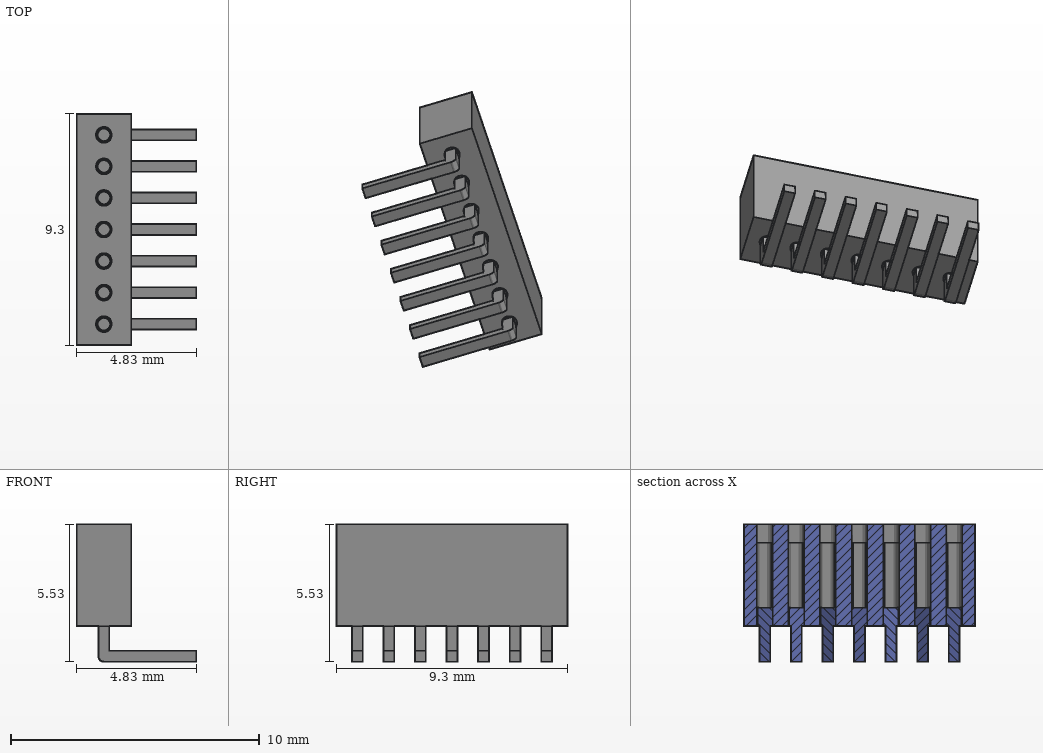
import cadquery as cq

HOUSING_WIDTH = 2.2
HOUSING_LENGTH = 9.3
HOUSING_HEIGHT = 4.1

CONTACT_COUNT = 7
CONTACT_SPAN = 7.62

HOLE_DIAMETER = 0.62
SOCKET_DIAMETER = 0.6
SOCKET_RECESS = 0.74
SOCKET_BORE_DIAMETER = 0.5
SOCKET_FLOOR = 0.74

TAIL_SIZE = 0.45
OVERALL_WIDTH = 4.83
OVERALL_HEIGHT = 5.53
BEND_RADIUS = TAIL_SIZE / 2

TAIL_DROP = OVERALL_HEIGHT - HOUSING_HEIGHT
TAIL_END_X = OVERALL_WIDTH - HOUSING_WIDTH / 2
SOCKET_TOP = HOUSING_HEIGHT - SOCKET_RECESS
CONTACT_PITCH = CONTACT_SPAN / (CONTACT_COUNT - 1)
CONTACT_POSITIONS = [i * CONTACT_PITCH - CONTACT_SPAN / 2 for i in range(CONTACT_COUNT)]


def cylinder(diameter, bottom, top, y=0.0):
    """Vertical cylinder on the contact row."""
    return cq.Workplane("XY", origin=(0, y, bottom)).circle(diameter / 2).extrude(top - bottom)


def make_housing():
    """Block with one plain through hole for each contact."""
    housing = cq.Workplane("XY").box(
        HOUSING_WIDTH, HOUSING_LENGTH, HOUSING_HEIGHT, centered=(True, True, False)
    )
    for y in CONTACT_POSITIONS:
        housing = housing.cut(cylinder(HOLE_DIAMETER, 0, HOUSING_HEIGHT, y))
    return housing


def make_contact(y):
    """Round socket with a blind bore, and a square L-shaped tail below it."""
    half = TAIL_SIZE / 2
    tail = (
        cq.Workplane("XZ")
        .moveTo(-half, 0)
        .lineTo(half, 0)
        .lineTo(half, TAIL_SIZE - TAIL_DROP)
        .lineTo(TAIL_END_X, TAIL_SIZE - TAIL_DROP)
        .lineTo(TAIL_END_X, -TAIL_DROP)
        .lineTo(BEND_RADIUS - half, -TAIL_DROP)
        .radiusArc((-half, BEND_RADIUS - TAIL_DROP), BEND_RADIUS)
        .close()
        .extrude(half, both=True)
    )
    socket = cylinder(SOCKET_DIAMETER, 0, SOCKET_TOP)
    bore = cylinder(SOCKET_BORE_DIAMETER, SOCKET_FLOOR, SOCKET_TOP)
    return socket.cut(bore).union(tail).translate((0, y, 0))


housing = make_housing()
contacts = [make_contact(y) for y in CONTACT_POSITIONS]

result = cq.Compound.makeCompound([housing.val(), *[contact.val() for contact in contacts]])